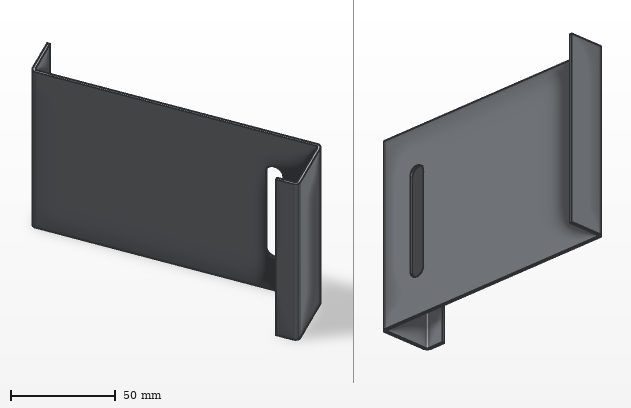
import cadquery as cq

length = 149.0
depth = 51.0
height = 100.0

thickness = 1.5
inner_radius = 1.0
outer_radius = inner_radius + thickness

front_flange_depth = 31.0
lip_width = 11.6

slot_length = 59.0
slot_width = 9.0
slot_from_left = 125.0

left = -length / 2
right = length / 2
front = -depth / 2
back = depth / 2
web_back = front + front_flange_depth
web_front = web_back - thickness
lip_end = right - lip_width


def folded_sheet():
    """Extrude the sharp-cornered section, then round both sides of each bend."""
    outline = [
        (left, back),
        (left, web_front),
        (right - thickness, web_front),
        (right - thickness, front + thickness),
        (lip_end, front + thickness),
        (lip_end, front),
        (right, front),
        (right, web_back),
        (left + thickness, web_back),
        (left + thickness, back),
    ]
    outer_corners = [(left, web_front), (right, web_back), (right, front)]
    inner_corners = [
        (left + thickness, web_back),
        (right - thickness, web_front),
        (right - thickness, front + thickness),
    ]
    sheet = cq.Workplane("XY").polyline(outline).close().extrude(height / 2, both=True)
    for corners, radius in ((outer_corners, outer_radius), (inner_corners, inner_radius)):
        for x, y in corners:
            corner_edge = cq.selectors.NearestToPointSelector((x, y, 0))
            sheet = sheet.edges("|Z").edges(corner_edge).fillet(radius)
    return sheet


def web_slot():
    """Upright round-ended cutter that passes through the web only."""
    return (
        cq.Workplane("XZ", origin=(left + slot_from_left, web_back + thickness, 0))
        .slot2D(slot_length, slot_width, angle=90)
        .extrude(3 * thickness)
    )


result = folded_sheet().cut(web_slot())